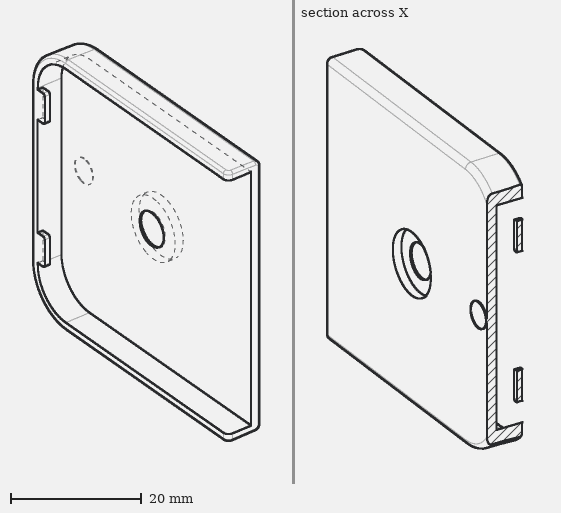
import cadquery as cq
import math

length = 48.85
height = 49.09
body_depth = 6.45

draft_angle = 1.0
corner_radius = 8.5
back_fillet = 1.0
rim_fillet = 0.5
end_corner_radius = 1.0

wall = 1.5
pocket_depth = 4.6

hole_diameter = 6.0
hole_to_closed_side = 24.0
lip_thickness = 0.3
counterbore_diameter = 11.0

tab_reach = 1.75
tab_width = 5.5
tab_offset = 13.0
tab_thickness = 1.0
tab_corner_radius = 0.4

pad_diameter = 4.5
pad_height = 0.15
pad_to_closed_side = 4.6

rim_allowance = rim_fillet * math.tan(math.radians(draft_angle))
closed_x = -hole_to_closed_side
open_x = closed_x + length
half_height = height / 2
overrun = 10.0


def slab(left, half, radius, depth, taper=0.0):
    """Plate from Y = 0 to Y = depth with two round corners on its left, running past the open end."""
    right = open_x + overrun
    outline = (
        cq.Workplane("XZ")
        .moveTo(right, -half)
        .lineTo(left + radius, -half)
        .radiusArc((left, -half + radius), radius)
        .lineTo(left, half - radius)
        .radiusArc((left + radius, half), radius)
        .lineTo(right, half)
        .close()
    )
    return outline.extrude(-depth, taper=taper)


def make_body():
    """Drafted solid block with all of its outer edges rounded."""
    body = slab(
        closed_x - rim_allowance, half_height + rim_allowance, corner_radius, body_depth, draft_angle
    )
    beyond_end = cq.Workplane("XY").box(2 * overrun, length, 2 * height, centered=(False, True, True))
    body = body.cut(beyond_end.translate((open_x, 0, 0)))
    body = body.faces(">Y").edges("not(>X)").fillet(back_fillet)
    body = body.faces(">X").edges("<Y").fillet(end_corner_radius)
    return body.faces("<Y").edges("not(>X)").fillet(rim_fillet)


def make_pocket():
    """Straight-walled recess, open at the rim and at the open end."""
    return slab(closed_x + wall, half_height - wall, corner_radius - wall, pocket_depth)


def make_tab(center_z):
    """Tab flush with the rim, overlapping the closed wall at its root."""
    root_x = closed_x + wall / 2
    tip_x = closed_x + wall + tab_reach
    tab = cq.Workplane("XY").box(tip_x - root_x, tab_thickness, tab_width, centered=(False, False, True))
    tab = tab.edges("|Y and >X").fillet(tab_corner_radius)
    return tab.translate((root_x, 0, center_z))


def make_cylinder(x, start_y, diameter, depth):
    """Cylinder along +Y, centred on Z = 0."""
    return cq.Workplane("XZ", origin=(x, start_y, 0)).circle(diameter / 2).extrude(-depth)


def make_hole():
    """Through hole in the pocket floor together with its counterbore."""
    counterbore_floor_y = pocket_depth + lip_thickness
    counterbore_depth = body_depth - counterbore_floor_y
    hole = make_cylinder(0, 0, hole_diameter, body_depth)
    return hole.union(make_cylinder(0, counterbore_floor_y, counterbore_diameter, counterbore_depth))


result = make_body().cut(make_pocket())
for side in (-1, 1):
    result = result.union(make_tab(side * tab_offset))
result = result.cut(make_hole())
result = result.union(
    make_cylinder(closed_x + pad_to_closed_side, body_depth, pad_diameter, pad_height)
)